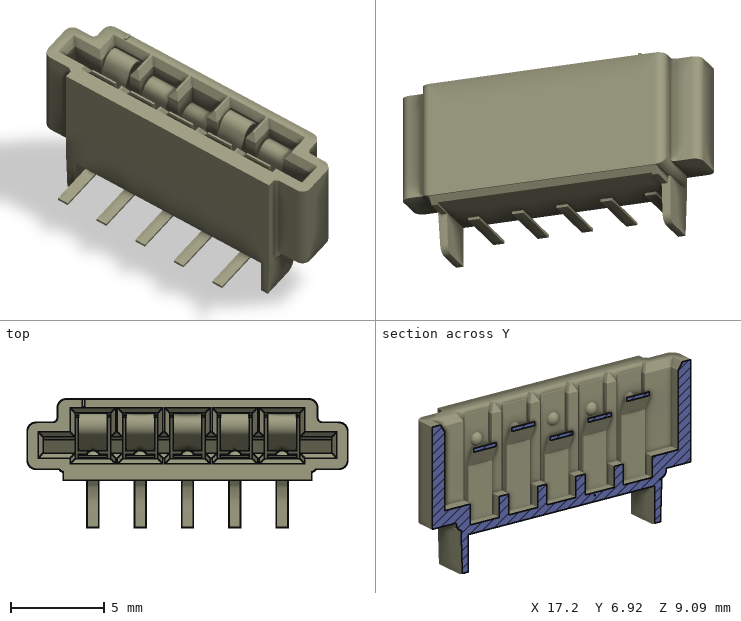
import cadquery as cq
import math


overall_length = 17.22
wall_depth = 4.37
box_length = 13.98
box_front = 0.4
box_bottom = -6.44
front_wall_length = 13.36
front_wall_thickness = 0.86
base_bottom = -6.75
base_rear_inset = 0.07
corner_radius = 0.5

ear_front = 0.59
ear_rear = 3.12
ear_bottom = -5.9
ear_front_fillet = 0.19
ear_rear_fillet = 0.25

cell_count = 5
cell_row_length = 10.16
pitch = cell_row_length / (cell_count - 1)
cell_opening_length = 2.45
cell_front = 0.88
rear_wall_thickness = 0.48
cell_rear = wall_depth - rear_wall_thickness
cell_floor = -6.2
floor_embed = 0.17
ear_end_wall = 0.59
slot_opening_length = overall_length - 2 * ear_end_wall
slot_front = 1.19
slot_rear = 2.6
slot_floor = -5.0
slot_ramp_run = 0.15
slot_ramp_rise = 0.07
lead_in_inset = 0.28
lead_in_height = 0.45

contact_width = 1.55
sheet = 0.1
blade_front = 1.22
blade_rear = blade_front + sheet
blade_root_rear = 1.4
blade_root_top = -5.85
blade_top = -0.17
spring_knee = 1.58
leaf_lean = math.radians(25)
arch_radius = 0.6
arch_centre_y = 3.0
arch_centre_z = -0.77
shoulder_front = 3.38
shoulder_top = -3.45
shoulder_chamfer = 0.1
arch_drops = [0.0, 0.62, 1.1, 0.0, 0.62]
dimple_radius = 0.38
dimple_height = 0.28
dimple_centre_z = -1.72

tail_width = 0.64
tail_thickness = 0.15
tail_reach = 2.55

leg_bottom = -8.99
leg_inner = 6.16
leg_draft = 0.09
leg_depth = 2.51
leg_tip_depth = 2.3
leg_tip_radius = 0.52
heel_bottom = -6.84
heel_outer = 6.51

marker_x = -5.58
marker_width = 0.14
marker_front = 3.95
marker_depth = 0.4
marker_height = 0.1


def block(length, y_front, y_rear, z_low, z_high, x_middle=0.0):
    """Box centred on x_middle, given by its Y and Z limits."""
    solid = cq.Workplane("XY").box(length, y_rear - y_front, z_high - z_low)
    return solid.translate((x_middle, (y_front + y_rear) / 2, (z_low + z_high) / 2))


def side_plate(points, width, x_middle=0.0):
    """Closed YZ outline given width along X, centred on x_middle."""
    plate = cq.Workplane("YZ").polyline(points).close().extrude(width / 2, both=True)
    return plate.translate((x_middle, 0, 0))


def housing():
    """Outer shell as a solid block, before the pockets are cut."""
    rear_block = block(box_length, box_front, wall_depth, box_bottom, 0).edges("|Z").fillet(corner_radius)
    end_rounding = block(box_length, box_front, wall_depth, box_bottom, 0)
    end_rounding = end_rounding.edges("|Y and <Z").fillet(corner_radius)
    rear_block = rear_block.intersect(end_rounding)

    ears = block(overall_length, ear_front, ear_rear, ear_bottom, 0).edges("|Z").fillet(corner_radius)
    front_wall = block(front_wall_length, 0, front_wall_thickness, box_bottom, 0)
    return rear_block.union(ears).union(front_wall)


def ear_fillet(side, x_corner, y_corner, radius, y_direction):
    """Concave fillet filling the corner between an ear and the body."""
    x_start = side * x_corner
    x_far = side * (x_corner + radius)
    y_far = y_corner + y_direction * radius
    bend = radius * (1 - math.sqrt(0.5))
    arc_middle = (side * (x_corner + bend), y_corner + y_direction * bend)
    outline = cq.Workplane("XY").moveTo(x_start, y_corner).lineTo(x_far, y_corner)
    outline = outline.threePointArc(arc_middle, (x_start, y_far))
    return outline.close().extrude(ear_bottom)


def base_outline(bottom):
    """YZ outline of a layer under the box, with its lower rear edge bevelled at 45 degrees."""
    rear = wall_depth - base_rear_inset
    bevel_front = rear - (box_bottom - bottom)
    return [(0, box_bottom), (rear, box_bottom), (bevel_front, bottom), (0, bottom)]


def base():
    """Layer closing the underside between the legs."""
    return side_plate(base_outline(base_bottom), 2 * leg_inner)


def heel(side):
    """Thin bevelled plate that runs to the rear beside a leg."""
    middle = side * (leg_inner + heel_outer) / 2
    return side_plate(base_outline(heel_bottom), heel_outer - leg_inner, middle)


def leg(side):
    """Board leg with a tapered, rounded rear edge and a drafted outer face."""
    outline = [(0, box_bottom), (leg_depth, box_bottom), (leg_tip_depth, leg_bottom), (0, leg_bottom)]
    profile = side_plate(outline, overall_length)
    tip_edge = cq.selectors.NearestToPointSelector((0, leg_tip_depth, leg_bottom))
    profile = profile.edges(tip_edge).fillet(leg_tip_radius)
    outer = front_wall_length / 2
    front_outline = [
        (side * leg_inner, box_bottom), (side * outer, box_bottom),
        (side * (outer - leg_draft), leg_bottom), (side * leg_inner, leg_bottom),
    ]
    thickness = cq.Workplane("XZ").polyline(front_outline).close().extrude(-wall_depth)
    return profile.intersect(thickness)


def lead_in(length, y_front, y_rear, x_middle=0.0):
    """Tapered mouth of a pocket, sloping inward on all four sides."""
    taper = cq.Workplane("XY").rect(length, y_rear - y_front)
    taper = taper.workplane(offset=-lead_in_height)
    taper = taper.rect(length - 2 * lead_in_inset, y_rear - y_front - 2 * lead_in_inset).loft()
    return taper.translate((x_middle, (y_front + y_rear) / 2, 0))


def throat(length, y_front, y_rear, floor, x_middle=0.0):
    """Straight part of a pocket, from the mouth down to its floor."""
    inset = lead_in_inset
    return block(length - 2 * inset, y_front + inset, y_rear - inset, floor, -lead_in_height, x_middle)


def card_slot():
    """Slot running through every cell and into both ears."""
    straight = throat(slot_opening_length, slot_front, slot_rear, slot_floor)
    length = slot_opening_length - 2 * lead_in_inset
    rear = slot_rear - lead_in_inset
    ramp_front = rear - slot_ramp_run
    ramp_outline = [(ramp_front, slot_floor), (rear, slot_floor), (rear, slot_floor + slot_ramp_rise)]
    straight = straight.cut(side_plate(ramp_outline, length))
    return lead_in(slot_opening_length, slot_front, slot_rear).union(straight)


def contact_cell(x_middle):
    """Pocket that holds one contact."""
    straight = throat(cell_opening_length, cell_front, cell_rear, cell_floor, x_middle)
    return lead_in(cell_opening_length, cell_front, cell_rear, x_middle).union(straight)


def spring(x_middle, arch_z):
    """Upright foot, leaning leaf, and an arch that comes down along the rear wall of the cell."""
    foot_z = cell_floor - floor_embed
    across_y = math.cos(leaf_lean)
    across_z = -math.sin(leaf_lean)
    inner_radius = arch_radius - sheet
    arch_rear = arch_centre_y + arch_radius

    def leaf_end(radius):
        return (arch_centre_y - radius * across_y, arch_z - radius * across_z)

    leaf_run = leaf_end(arch_radius)[0] - spring_knee
    knee_z = leaf_end(arch_radius)[1] - leaf_run / math.tan(leaf_lean)
    inner_knee = (spring_knee + sheet, knee_z - sheet * math.tan(leaf_lean / 2))

    profile = (
        cq.Workplane("YZ")
        .moveTo(spring_knee, foot_z)
        .lineTo(spring_knee, knee_z)
        .lineTo(*leaf_end(arch_radius))
        .threePointArc((arch_centre_y, arch_z + arch_radius), (arch_rear, arch_z))
        .lineTo(arch_rear, foot_z)
        .lineTo(arch_rear - sheet, foot_z)
        .lineTo(arch_rear - sheet, arch_z)
        .threePointArc((arch_centre_y, arch_z + inner_radius), leaf_end(inner_radius))
        .lineTo(*inner_knee)
        .lineTo(spring_knee + sheet, foot_z)
        .close()
        .extrude(contact_width / 2, both=True)
    )
    return profile.translate((x_middle, 0, 0))


def shoulder(x_middle):
    """Wide rear part of a contact, filling the cell from wall to wall."""
    width = cell_opening_length - 2 * lead_in_inset
    bar = block(width, shoulder_front, cell_rear - lead_in_inset, cell_floor, shoulder_top, x_middle)
    return bar.edges("|X and >Z and <Y").chamfer(shoulder_chamfer)


def blade(x_middle):
    """Upright front sheet of a contact, with a thicker root and a domed dimple on its rear face."""
    foot_z = cell_floor - floor_embed
    plate = block(contact_width, blade_front, blade_rear, foot_z, blade_top, x_middle)
    root = block(contact_width, blade_front, blade_root_rear, foot_z, blade_root_top, x_middle)
    dome_radius = (dimple_radius**2 + dimple_height**2) / (2 * dimple_height)
    dome = cq.Workplane("XY").sphere(dome_radius)
    dome = dome.translate((x_middle, blade_rear + dimple_height - dome_radius, dimple_centre_z))
    rear_half = block(contact_width, blade_front, spring_knee + sheet, cell_floor, 0, x_middle)
    return plate.union(root).union(dome.intersect(rear_half))


def solder_tail(x_middle):
    """Flat tail under the base, joined to the blade through the cell floor."""
    tail_bottom = base_bottom - tail_thickness
    flat = block(tail_width, -tail_reach, blade_rear, tail_bottom, base_bottom, x_middle)
    stem = block(tail_width, blade_front, blade_rear, tail_bottom, cell_floor, x_middle)
    return flat.union(stem)


result = housing().union(base())
for side in (-1, 1):
    result = result.union(heel(side))
    result = result.union(leg(side))
    result = result.union(ear_fillet(side, front_wall_length / 2, ear_front, ear_front_fillet, -1))
    result = result.union(ear_fillet(side, box_length / 2, ear_rear, ear_rear_fillet, 1))

cell_places = [(index - (cell_count - 1) / 2) * pitch for index in range(cell_count)]
result = result.cut(card_slot())
for x_cell in cell_places:
    result = result.cut(contact_cell(x_cell))

for x_cell, arch_drop in zip(cell_places, arch_drops):
    result = result.union(spring(x_cell, arch_centre_z - arch_drop))
    result = result.union(shoulder(x_cell))
    result = result.union(blade(x_cell))
    result = result.union(solder_tail(x_cell))

marker = block(marker_width, marker_front, marker_front + marker_depth, 0, marker_height, marker_x)
result = result.union(marker)